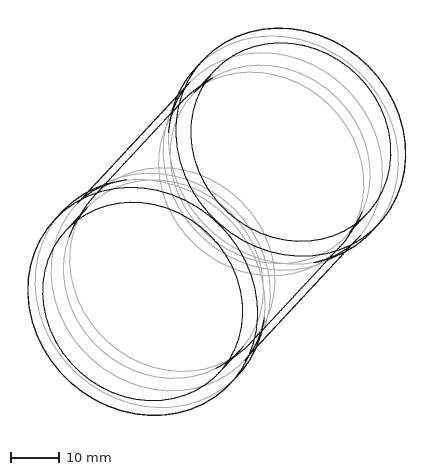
import cadquery as cq
import math

length = 105.0
collar_diameter = 50.0
body_diameter = 47.7
end_bore_diameter = 43.5
middle_bore_diameter = 44.6

collar_length = 5.2
flare_length = 7.6

end_bore_length = 14.7
relief_length = 6.3

half_length = length / 2
collar_radius = collar_diameter / 2
body_radius = body_diameter / 2
end_bore_radius = end_bore_diameter / 2
middle_bore_radius = middle_bore_diameter / 2
collar_y = half_length - collar_length
flare_y = collar_y - flare_length
end_bore_y = half_length - end_bore_length
relief_y = end_bore_y - relief_length


def tangent_arc_rise(run, full_run, full_rise):
    """Rise at a given run along an arc that starts parallel to the tube axis."""
    arc_radius = (full_run**2 + full_rise**2) / (2 * full_rise)
    return arc_radius - math.sqrt(arc_radius**2 - run**2)


flare_mid_run = flare_length / 2
flare_mid_y = flare_y + flare_mid_run
flare_mid_radius = body_radius + tangent_arc_rise(
    flare_mid_run, flare_length, collar_radius - body_radius
)
relief_mid_run = relief_length / 2
relief_mid_y = relief_y + relief_mid_run
relief_mid_radius = middle_bore_radius - tangent_arc_rise(
    relief_mid_run, relief_length, middle_bore_radius - end_bore_radius
)

result = (
    cq.Workplane("YZ")
    .moveTo(-half_length, end_bore_radius)
    .lineTo(-half_length, collar_radius)
    .lineTo(-collar_y, collar_radius)
    .threePointArc((-flare_mid_y, flare_mid_radius), (-flare_y, body_radius))
    .lineTo(flare_y, body_radius)
    .threePointArc((flare_mid_y, flare_mid_radius), (collar_y, collar_radius))
    .lineTo(half_length, collar_radius)
    .lineTo(half_length, end_bore_radius)
    .lineTo(end_bore_y, end_bore_radius)
    .threePointArc((relief_mid_y, relief_mid_radius), (relief_y, middle_bore_radius))
    .lineTo(-relief_y, middle_bore_radius)
    .threePointArc((-relief_mid_y, relief_mid_radius), (-end_bore_y, end_bore_radius))
    .close()
    .revolve(360, (0, 0, 0), (1, 0, 0))
)